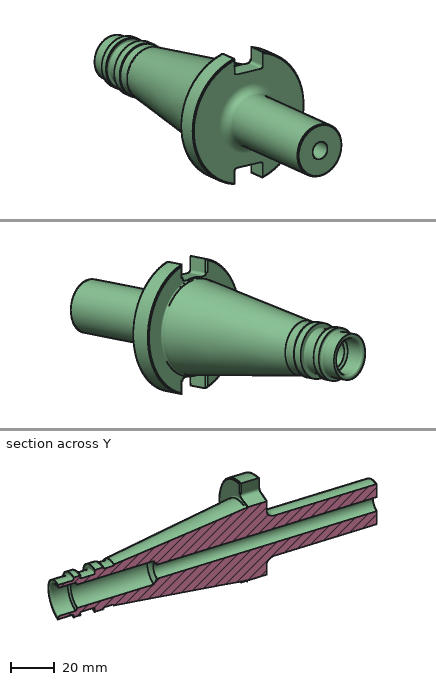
import cadquery as cq
import math

LENGTH = 160.0

PILOT_RADIUS = 10.7
PILOT_END = 6.0
CONE_END_RADIUS = 10.5

FRONT_COLLAR_RADIUS = 12.3
FRONT_COLLAR_START = 7.8
FRONT_COLLAR_END = 11.4
PILOT_FILLET = 1.0

GROOVE_RADIUS = 10.4
COLLAR_CHAMFER = 0.3
GROOVE_FILLET = 0.5

REAR_COLLAR_RADIUS = 13.0
REAR_COLLAR_START = 18.4
REAR_COLLAR_END = 22.9
NECK_RADIUS = 12.0

GAUGE_RADIUS = 22.2
TAPER_START = 28.0
TAPER_END = 93.3
TAPER_SLOPE = 7 / 48

FLANGE_RADIUS = 31.4
FLANGE_START = 95.0
FLANGE_THICKNESS = 9.8
FLANGE_CHAMFER = 0.5
FLANGE_FILLET = 0.8

SLOT_WIDTH = 16.0
SLOT_FLOOR = 22.5
SLOT_CORNER_RADIUS = 1.5
SLOT_CHAMFER_WIDTH = 1.0
SLOT_CHAMFER_DEPTH = 0.6

SHANK_RADIUS = 12.5
SHANK_FILLET = 4.0
SHANK_CHAMFER = 0.5

MOUTH_ROUNDING = 1.1
COUNTERBORE_RADIUS = 8.5
COUNTERBORE_DEPTH = 8.8
THREAD_BORE_RADIUS = 7.0
THREAD_BORE_DEPTH = 48.0
SEAT_HALF_ANGLE = 60.0
COOLANT_RADIUS = 4.2

FLANGE_END = FLANGE_START + FLANGE_THICKNESS


def concave_corner(profile, x, radius, fillet, x_side, turn_out):
    """Fillet between the cylinder of this radius and the end face at x.

    x_side is -1 when the cylinder lies before the face and 1 when it lies after it.
    turn_out is True when the outline climbs away from the axis.
    """
    on_cylinder = (x + x_side * fillet, radius)
    on_face = (x, radius + fillet)
    inset = fillet * (1 - math.sqrt(0.5))
    middle = (x + x_side * inset, radius + inset)
    first, last = (on_cylinder, on_face) if turn_out else (on_face, on_cylinder)
    return profile.lineTo(*first).threePointArc(middle, last)


def revolve_about_x(profile):
    return profile.close().revolve(360, (0, 0, 0), (1, 0, 0))


def turned_body():
    taper_start_radius = GAUGE_RADIUS - TAPER_SLOPE * (TAPER_END - TAPER_START)

    profile = cq.Workplane("XY").moveTo(0, 0).lineTo(0, PILOT_RADIUS)
    profile = profile.lineTo(PILOT_END, PILOT_RADIUS)

    profile = concave_corner(profile, FRONT_COLLAR_START, CONE_END_RADIUS, PILOT_FILLET, -1, True)
    profile = profile.lineTo(FRONT_COLLAR_START, FRONT_COLLAR_RADIUS)
    profile = profile.lineTo(FRONT_COLLAR_END - COLLAR_CHAMFER, FRONT_COLLAR_RADIUS)
    profile = profile.lineTo(FRONT_COLLAR_END, FRONT_COLLAR_RADIUS - COLLAR_CHAMFER)
    profile = concave_corner(profile, FRONT_COLLAR_END, GROOVE_RADIUS, GROOVE_FILLET, 1, False)

    profile = concave_corner(profile, REAR_COLLAR_START, GROOVE_RADIUS, GROOVE_FILLET, -1, True)
    profile = profile.lineTo(REAR_COLLAR_START, REAR_COLLAR_RADIUS)
    profile = profile.lineTo(REAR_COLLAR_END - COLLAR_CHAMFER, REAR_COLLAR_RADIUS)
    profile = profile.lineTo(REAR_COLLAR_END, REAR_COLLAR_RADIUS - COLLAR_CHAMFER)
    profile = concave_corner(profile, REAR_COLLAR_END, NECK_RADIUS, GROOVE_FILLET, 1, False)

    profile = concave_corner(profile, TAPER_START, NECK_RADIUS, GROOVE_FILLET, -1, True)
    profile = profile.lineTo(TAPER_START, taper_start_radius)
    profile = profile.lineTo(TAPER_END, GAUGE_RADIUS)

    profile = concave_corner(profile, FLANGE_START, GAUGE_RADIUS, FLANGE_FILLET, -1, True)
    profile = profile.lineTo(FLANGE_START, FLANGE_RADIUS - FLANGE_CHAMFER)
    profile = profile.lineTo(FLANGE_START + FLANGE_CHAMFER, FLANGE_RADIUS)
    profile = profile.lineTo(FLANGE_END - FLANGE_CHAMFER, FLANGE_RADIUS)
    profile = profile.lineTo(FLANGE_END, FLANGE_RADIUS - FLANGE_CHAMFER)

    profile = concave_corner(profile, FLANGE_END, SHANK_RADIUS, SHANK_FILLET, 1, False)
    profile = profile.lineTo(LENGTH - SHANK_CHAMFER, SHANK_RADIUS)
    profile = profile.lineTo(LENGTH, SHANK_RADIUS - SHANK_CHAMFER)
    profile = profile.lineTo(LENGTH, 0)
    return revolve_about_x(profile)


def stepped_bore():
    """Counterbore, thread bore and coolant hole, joined by conical seats, with a rounded mouth."""
    seat_slope = math.tan(math.radians(SEAT_HALF_ANGLE))
    counterbore_seat = (COUNTERBORE_RADIUS - THREAD_BORE_RADIUS) / seat_slope
    thread_seat = (THREAD_BORE_RADIUS - COOLANT_RADIUS) / seat_slope
    mouth_inset = MOUTH_ROUNDING * (1 - math.sqrt(0.5))

    profile = (
        cq.Workplane("XY")
        .moveTo(0, 0)
        .lineTo(0, COUNTERBORE_RADIUS + MOUTH_ROUNDING)
        .threePointArc(
            (mouth_inset, COUNTERBORE_RADIUS + mouth_inset),
            (MOUTH_ROUNDING, COUNTERBORE_RADIUS),
        )
        .lineTo(COUNTERBORE_DEPTH, COUNTERBORE_RADIUS)
        .lineTo(COUNTERBORE_DEPTH + counterbore_seat, THREAD_BORE_RADIUS)
        .lineTo(THREAD_BORE_DEPTH, THREAD_BORE_RADIUS)
        .lineTo(THREAD_BORE_DEPTH + thread_seat, COOLANT_RADIUS)
        .lineTo(LENGTH, COOLANT_RADIUS)
        .lineTo(LENGTH, 0)
    )
    return revolve_about_x(profile)


def top_slot():
    """Cutter for the upper drive slot: rounded floor corners, chamfered front side edges."""
    half_width = SLOT_WIDTH / 2
    height = FLANGE_RADIUS - SLOT_FLOOR
    slot = (
        cq.Workplane("XY")
        .box(FLANGE_THICKNESS, SLOT_WIDTH, height, centered=(False, True, False))
        .edges("|X and <Z")
        .fillet(SLOT_CORNER_RADIUS)
        .translate((FLANGE_START, 0, SLOT_FLOOR))
    )
    side_chamfers = (
        cq.Workplane("XY", origin=(FLANGE_START, 0, SLOT_FLOOR + SLOT_CORNER_RADIUS))
        .moveTo(0, -half_width - SLOT_CHAMFER_WIDTH)
        .lineTo(SLOT_CHAMFER_DEPTH, -half_width)
        .lineTo(SLOT_CHAMFER_DEPTH, half_width)
        .lineTo(0, half_width + SLOT_CHAMFER_WIDTH)
        .close()
        .extrude(height - SLOT_CORNER_RADIUS)
    )
    return slot.union(side_chamfers)


result = turned_body().cut(stepped_bore())
for angle in (0, 180):
    result = result.cut(top_slot().rotate((0, 0, 0), (1, 0, 0), angle))